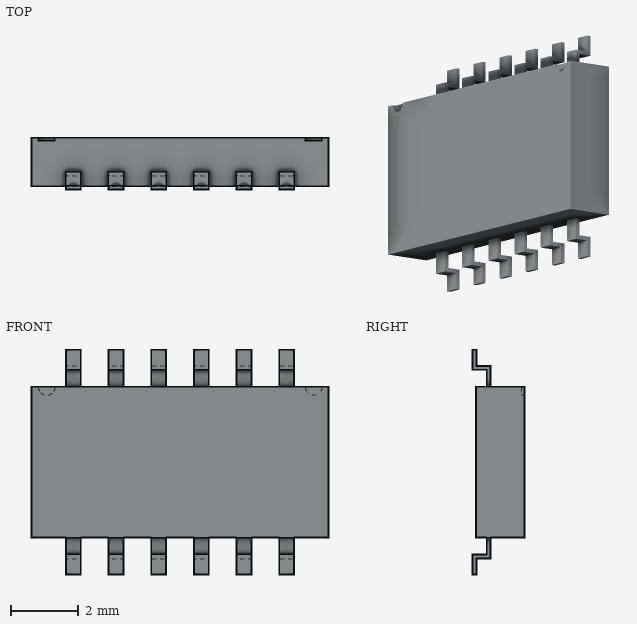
import cadquery as cq

body_length = 8.85
body_depth = 1.45
body_height = 4.5
standoff = 0.1
body_back = standoff + body_depth

leads_per_side = 6
lead_pitch = 1.27
lead_width = 0.45
lead_thickness = 0.12
lead_span = 6.7
foot_length = 0.6
shoulder_back = 0.54

recess_diameter = 0.5
recess_depth = 0.1
recess_end_distance = 0.45


def make_body():
    return cq.Workplane("XY").box(body_length, body_depth, body_height).translate(
        (0, standoff + body_depth / 2, 0)
    )


def make_lead(x_center):
    """Z-shaped lead standing on the top edge of the body."""
    body_top = body_height / 2
    tip = lead_span / 2
    foot_heel = tip - foot_length
    shoulder_top = foot_heel + lead_thickness
    shoulder_front = shoulder_back - lead_thickness
    return (
        cq.Workplane("YZ")
        .moveTo(shoulder_back, body_top)
        .lineTo(shoulder_back, shoulder_top)
        .lineTo(lead_thickness, shoulder_top)
        .lineTo(lead_thickness, tip)
        .lineTo(0, tip)
        .lineTo(0, foot_heel)
        .lineTo(shoulder_front, foot_heel)
        .lineTo(shoulder_front, body_top)
        .close()
        .extrude(lead_width / 2, both=True)
        .translate((x_center, 0, 0))
    )


def make_recess(x_center):
    """Cutter for one recess, centred on the top edge of the back face."""
    return (
        cq.Workplane("XZ", origin=(x_center, body_back, body_height / 2))
        .circle(recess_diameter / 2)
        .extrude(recess_depth)
    )


result = make_body()

recess_x = body_length / 2 - recess_end_distance
for x in (-recess_x, recess_x):
    result = result.cut(make_recess(x))

first_lead_x = -lead_pitch * (leads_per_side - 1) / 2
for index in range(leads_per_side):
    top_lead = make_lead(first_lead_x + index * lead_pitch)
    result = result.union(top_lead).union(top_lead.mirror("XY"))